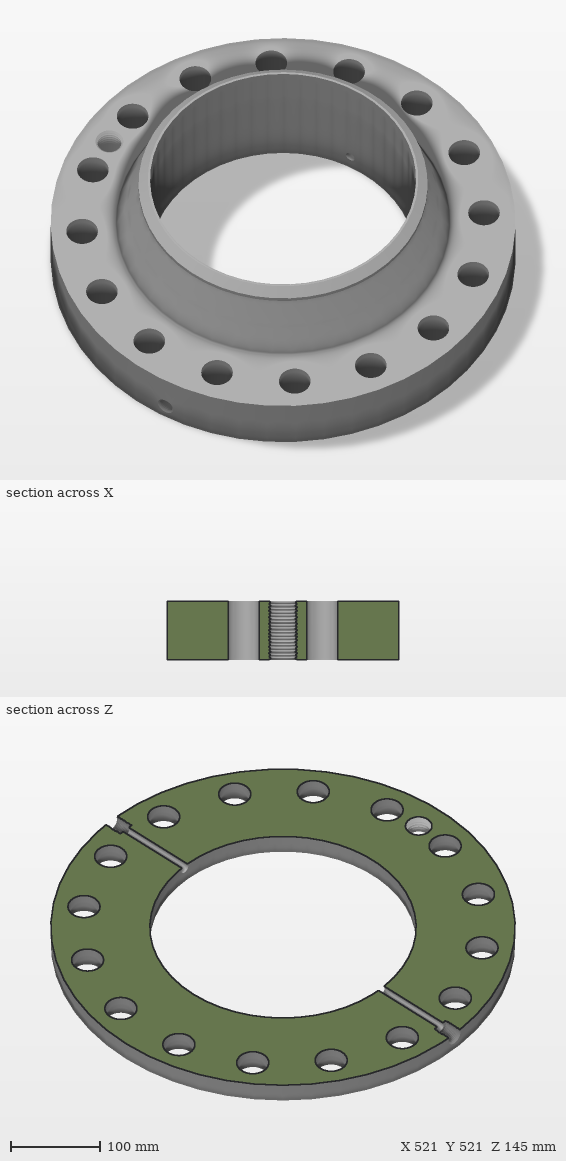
import cadquery as cq
import math

flange_radius = 260.5
flange_thickness = 66.0

total_height = 145.0
neck_base_radius = 187.5
neck_top_radius = 162.0
collar_height = 4.5
bevel_height = 9.0
root_fillet = 3.0
bore_radius = 149.0
land_width = 2.5

bolt_count = 16
bolt_circle_radius = 225.5
bolt_hole_radius = 17.5

jack_major_radius = 15.5
jack_minor_radius = 13.5
jack_pitch = 3.5

tap_height = 19.5
tap_major_radius = 10.5
tap_minor_radius = 8.5
tap_pitch = 1.8
tap_thread_depth = 22.0
tap_drill_radius = 5.5


def flange_body():
    """Disc, conical neck and weld bevel turned around Z, with the bore through them."""
    collar_top = total_height - bevel_height
    cone_top = collar_top - collar_height
    profile = [
        (bore_radius, 0),
        (flange_radius, 0),
        (flange_radius, flange_thickness),
        (neck_base_radius, flange_thickness),
        (neck_top_radius, cone_top),
        (neck_top_radius, collar_top),
        (bore_radius + land_width, total_height),
        (bore_radius, total_height),
    ]
    body = cq.Workplane("XZ").polyline(profile).close().revolve(360, (0, 0), (0, 1))
    return body.edges("%CIRCLE").edges(cq.selectors.RadiusNthSelector(-2)).fillet(root_fillet)


def bolt_holes():
    """Through holes that straddle the X and Y axes."""
    half_step = 180 / bolt_count
    return (
        cq.Workplane("XY")
        .polarArray(bolt_circle_radius, half_step, 360, bolt_count)
        .circle(bolt_hole_radius)
        .extrude(flange_thickness)
    )


def thread_cutter(major_radius, minor_radius, pitch, length):
    """Cutter along +Z from the origin, with the thread as a stack of V-shaped ridges."""
    ridge_count = math.floor(length / pitch)
    ridge_pitch = length / ridge_count
    profile = [(0, 0), (major_radius, 0)]
    for ridge in range(ridge_count):
        profile.append((minor_radius, (ridge + 0.5) * ridge_pitch))
        profile.append((major_radius, (ridge + 1) * ridge_pitch))
    profile.append((0, length))
    return cq.Workplane("XZ").polyline(profile).close().revolve(360, (0, 0), (0, 1))


def jack_screw_hole():
    cutter = thread_cutter(jack_major_radius, jack_minor_radius, jack_pitch, flange_thickness)
    return cutter.translate((-bolt_circle_radius, 0, 0))


def tapping_hole():
    """Threaded hole in the -Y side of the rim and the narrower drilling behind it."""
    thread = thread_cutter(tap_major_radius, tap_minor_radius, tap_pitch, tap_thread_depth)
    drill = cq.Workplane("XY").circle(tap_drill_radius).extrude(flange_radius)
    return (
        thread.union(drill)
        .rotate((0, 0, 0), (1, 0, 0), -90)
        .translate((0, -flange_radius, tap_height))
    )


front_tap = tapping_hole()
result = (
    flange_body()
    .cut(bolt_holes())
    .cut(jack_screw_hole())
    .cut(front_tap)
    .cut(front_tap.mirror("XZ"))
)